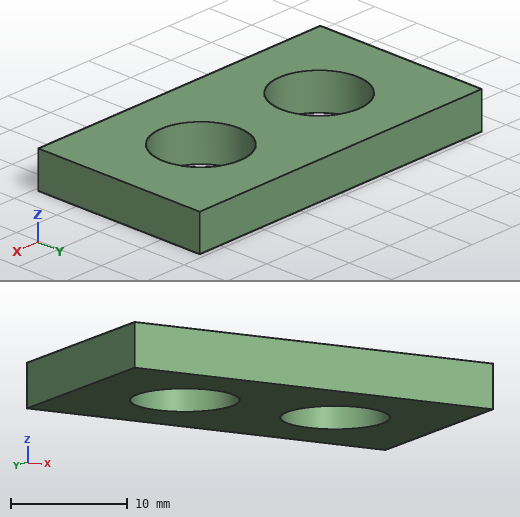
import cadquery as cq

plate_length = 35.05
plate_width = 19.05
plate_thickness = 4.0

hole_diameter = 9.4
hole_spacing = 14.7


def make_plate():
    """Rectangular plate centred on the origin."""
    return cq.Workplane("XY").box(plate_length, plate_width, plate_thickness)


def drill_holes(plate):
    """Two equal through holes along the long centreline."""
    hole_centres = [(-hole_spacing / 2, 0), (hole_spacing / 2, 0)]
    return plate.faces(">Z").workplane().pushPoints(hole_centres).hole(hole_diameter)


result = drill_holes(make_plate())